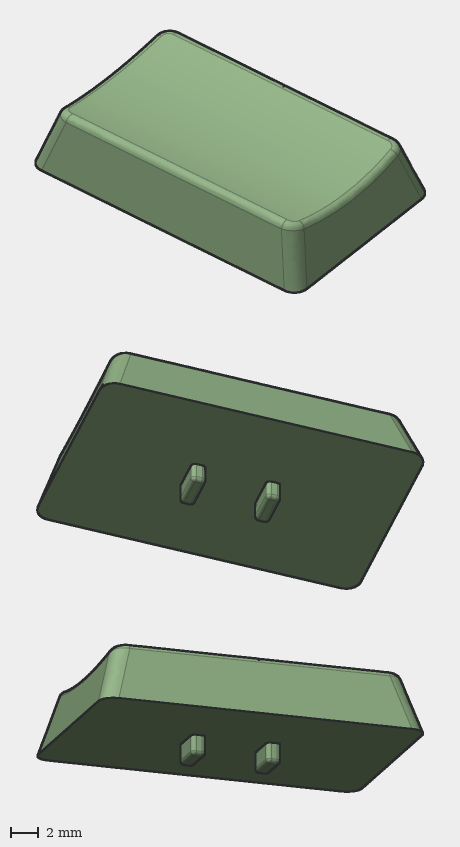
import cadquery as cq
import math

length = 24.5
width = 15.5
corner_radius = 1.2
draft_angle = 16.5
edge_radius = 0.6

dish_radius = 24.5
dish_floor = 3.95

prong_spacing = 5.68
prong_thickness = 1.08
prong_width = 2.87
prong_length = 1.5
prong_corner_radius = 0.32
prong_tip_radius = 0.3

blank_height = 5.88


def make_cap():
    inset = blank_height * math.tan(math.radians(draft_angle))
    blank = (
        cq.Workplane("XY")
        .rect(length, width)
        .workplane(offset=blank_height)
        .rect(length - 2 * inset, width - 2 * inset)
        .loft(ruled=True)
    )
    dish = (
        cq.Workplane("YZ")
        .center(0, dish_floor + dish_radius)
        .circle(dish_radius)
        .extrude(length, both=True)
    )
    slanted_corners = "not(#Z or |X or |Y)"
    blank = blank.edges(slanted_corners).fillet(corner_radius)
    dish_face = cq.NearestToPointSelector((0, 0, dish_floor))
    return blank.cut(dish).faces(dish_face).edges().fillet(edge_radius)


def make_prong(x):
    return (
        cq.Workplane("XY")
        .center(x, 0)
        .rect(prong_thickness, prong_width)
        .extrude(-prong_length)
        .edges("|Z")
        .fillet(prong_corner_radius)
        .faces("<Z")
        .edges()
        .fillet(prong_tip_radius)
    )


result = make_cap()
for side in (-1, 1):
    result = result.union(make_prong(side * prong_spacing / 2))